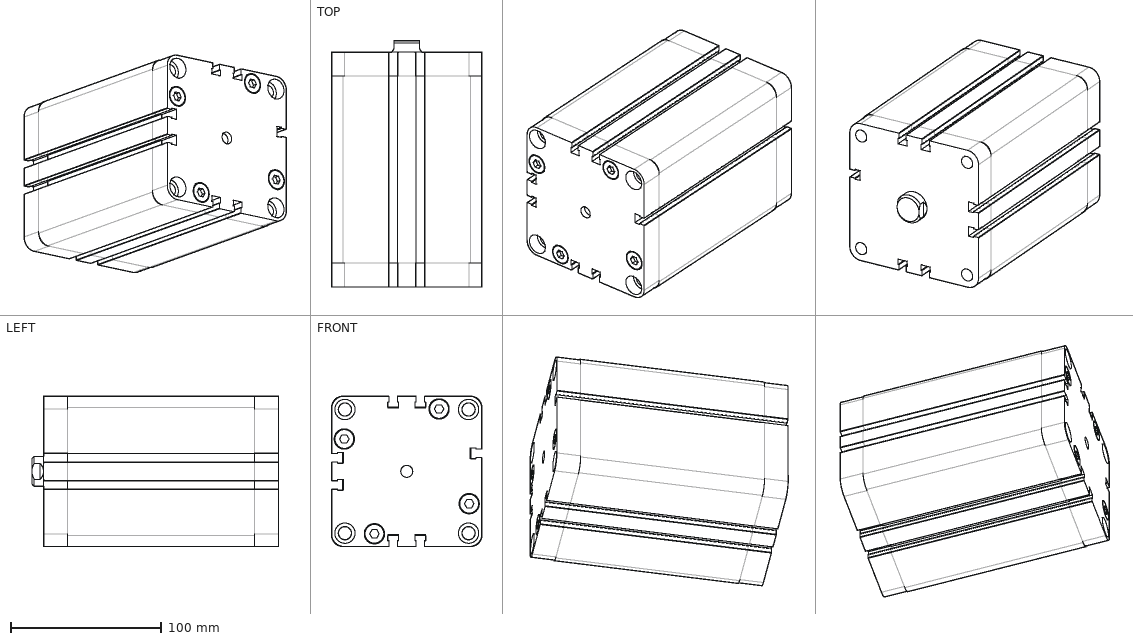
import cadquery as cq
import math

body_side = 100.0
half_side = body_side / 2
body_length = 156.25
cap_length = 16.0
tube_length = body_length - 2 * cap_length
cap_corner_radius = 8.5
tube_corner_radius = 7.5

slot_neck_width = 5.5
slot_undercut_width = 7.0
slot_neck_depth = 4.0
cap_slot_depth = 7.9
tube_slot_depth = 7.3
cap_slot_lip = 0.3
tube_slot_lip = 0.25
slot_offset = 9.0
single_slot_offset = 12.0
top_turn, right_turn, bottom_turn, left_turn = 0, 90, 180, 270
slots = [(turn, side * slot_offset) for turn in (top_turn, bottom_turn, left_turn) for side in (-1, 1)]
slots.append((right_turn, -single_slot_offset))

mount_offset = 41.1
mount_hole_diameter = 8.57
mount_counterbore_diameter = 13.5
mount_counterbore_depth = 8.25

screw_edge_offset = 41.5
screw_side_offset = 21.5
screw_pocket_diameter = 13.5
screw_head_diameter = 12.5
screw_pocket_depth = 8.0
socket_sides = 6
socket_across_flats = 5.5
socket_depth = 3.0

centre_hole_diameter = 8.0
centre_hole_depth = 4.0

rod_diameter = 20.0
rod_projection = 7.75
rod_tip_chamfer = 1.5
rod_flat_width = 17.0
rod_end = body_length + rod_projection
rod_shoulder_height = 2.25


def front_plane(y=0.0):
    """Workplane at distance y along the axis, whose local x is X, local y is Z and whose normal is -Y."""
    return cq.Workplane("XZ", origin=(0, y, 0))


def slot_cutter(turn, offset, depth, lip, start, length):
    """T-shaped slot, drawn in the top face and turned about Y to its own face."""
    neck = slot_neck_width / 2
    undercut = slot_undercut_width / 2
    right_half = [
        (neck + lip, half_side),
        (neck, half_side - lip),
        (neck, half_side - slot_neck_depth),
        (undercut, half_side - slot_neck_depth),
        (undercut, half_side - depth),
    ]
    left_half = [(-x, z) for x, z in reversed(right_half)]
    outline = [(x + offset, z) for x, z in right_half + left_half]
    cutter = front_plane(start).polyline(outline).close().extrude(-length)
    return cutter.rotate((0, 0, 0), (0, 1, 0), turn)


def body_section(start, length, corner_radius, slot_depth, slot_lip):
    """One length of the square body with rounded corners and all sensor slots."""
    section = front_plane(start).rect(body_side, body_side).extrude(-length)
    section = section.edges("|Y").fillet(corner_radius)
    for turn, offset in slots:
        section = section.cut(slot_cutter(turn, offset, slot_depth, slot_lip, start, length))
    return section


def piston_rod():
    """Rod end with a chamfered tip and two flats, seated on the rear face."""
    rod = front_plane(body_length).circle(rod_diameter / 2).extrude(-rod_projection)
    rod = rod.faces(">Y").chamfer(rod_tip_chamfer)
    outline = [
        (-rod_diameter / 2, body_length),
        (rod_diameter / 2, body_length),
        (rod_flat_width / 2, body_length + rod_shoulder_height),
        (rod_flat_width / 2, rod_end),
        (-rod_flat_width / 2, rod_end),
        (-rod_flat_width / 2, body_length + rod_shoulder_height),
    ]
    flats = cq.Workplane("XY").polyline(outline).close().extrude(rod_diameter / 2, both=True)
    return rod.intersect(flats)


def cut_mounting_holes(body):
    """Counterbored through holes in the four corners."""
    corners = [(x * mount_offset, z * mount_offset) for x in (-1, 1) for z in (-1, 1)]
    holes = front_plane().pushPoints(corners).circle(mount_hole_diameter / 2).extrude(-body_length)
    bores = front_plane().pushPoints(corners).circle(mount_counterbore_diameter / 2)
    return body.cut(holes, clean=False).cut(bores.extrude(-mount_counterbore_depth), clean=False)


def cut_screws(body):
    """Clearance ring around each flush screw head, and its hexagon socket."""
    edge, side = screw_edge_offset, screw_side_offset
    places = [(side, edge), (edge, -side), (-side, -edge), (-edge, side)]
    rings = front_plane().pushPoints(places).circle(screw_pocket_diameter / 2)
    rings = rings.circle(screw_head_diameter / 2).extrude(-screw_pocket_depth)
    socket_across_corners = socket_across_flats / math.cos(math.pi / socket_sides)
    sockets = front_plane().pushPoints(places).polygon(socket_sides, socket_across_corners)
    return body.cut(rings).cut(sockets.extrude(-socket_depth))


def cut_centre_hole(body):
    """Blind hole on the cylinder axis."""
    return body.cut(front_plane().circle(centre_hole_diameter / 2).extrude(-centre_hole_depth))


front_cap = body_section(0, cap_length, cap_corner_radius, cap_slot_depth, cap_slot_lip)
front_cap = cut_centre_hole(cut_screws(front_cap))
tube = body_section(cap_length, tube_length, tube_corner_radius, tube_slot_depth, tube_slot_lip)
rear_cap = body_section(cap_length + tube_length, cap_length, cap_corner_radius, cap_slot_depth, cap_slot_lip)

result = front_cap.union(tube, clean=False).union(rear_cap, clean=False)
result = result.union(piston_rod(), clean=False)
result = cut_mounting_holes(result)